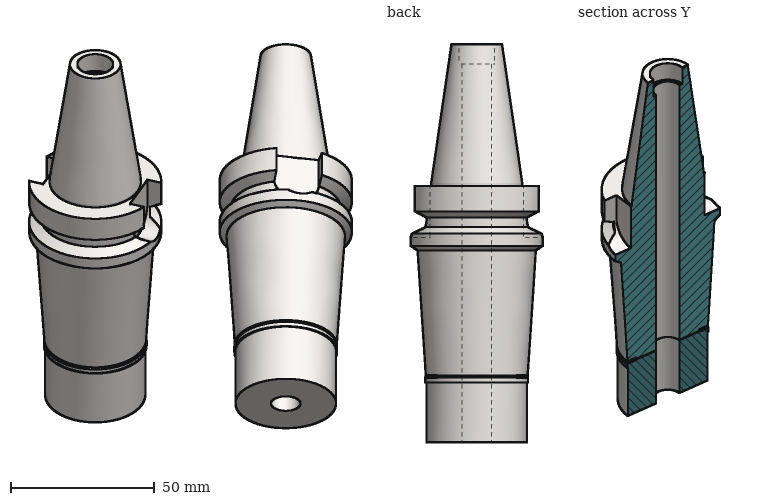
import cadquery as cq
import math

total_length = 138.4

gauge_radius = 31.75 / 2
taper_length = 48.4
taper_ratio = 7 / 24
taper_tip_radius = gauge_radius - taper_length * taper_ratio / 2

flange_radius = 46 / 2
flange_top_z = -0.9
upper_rim_height = 8.8
groove_radius = 19.1
groove_flank_angle = 60
groove_flank_height = (flange_radius - groove_radius) / math.tan(math.radians(groove_flank_angle))
groove_floor_height = 3.3
lower_rim_height = 4.2
flange_chamfer_height = 1.6

groove_top_z = flange_top_z - upper_rim_height
groove_floor_top_z = groove_top_z - groove_flank_height
groove_floor_bottom_z = groove_floor_top_z - groove_floor_height
groove_bottom_z = groove_floor_bottom_z - groove_flank_height
chamfer_top_z = groove_bottom_z - lower_rim_height
body_top_z = chamfer_top_z - flange_chamfer_height

slot_width = 16.1
slot_floor_x = 16.3
slot_depth = 17.9

body_top_radius = 20.6
body_bottom_radius = 17.75
nose_radius = 13.9
nut_gap = 0.8
nut_radius = 35 / 2
collar_radius = 17.9
collar_height = 1.7
nut_height = 22.5

nut_bottom_z = taper_length - total_length
nut_top_z = nut_bottom_z + nut_height
collar_bottom_z = nut_top_z - collar_height
body_bottom_z = nut_top_z + nut_gap

bore_radius = 10.25 / 2
counterbore_radius = 12.5 / 2
counterbore_depth = 7.0
counterbore_floor_z = taper_length - counterbore_depth


def revolve_profile(points):
    """Revolve a closed (radius, z) outline about the Z axis."""
    return cq.Workplane("XZ").polyline(points).close().revolve(360, (0, 0, 0), (0, 1, 0))


def make_drive_slot(side):
    """Cutter for one drive slot: open at the flange top, rounded at its lower end."""
    end_radius = slot_width / 2
    end_center_z = flange_top_z - slot_depth + end_radius
    return (
        cq.Workplane("YZ")
        .workplane(offset=side * slot_floor_x)
        .moveTo(-end_radius, flange_top_z)
        .lineTo(-end_radius, end_center_z)
        .threePointArc((0, flange_top_z - slot_depth), (end_radius, end_center_z))
        .lineTo(end_radius, flange_top_z)
        .close()
        .extrude(side * (flange_radius - slot_floor_x))
    )


def make_holder():
    """Tool holder: spindle taper, flange, tapered body and nose, bored through."""
    holder = revolve_profile([
        (counterbore_radius, taper_length),
        (taper_tip_radius, taper_length),
        (gauge_radius, 0),
        (gauge_radius, flange_top_z),
        (flange_radius, flange_top_z),
        (flange_radius, groove_top_z),
        (groove_radius, groove_floor_top_z),
        (groove_radius, groove_floor_bottom_z),
        (flange_radius, groove_bottom_z),
        (flange_radius, chamfer_top_z),
        (body_top_radius, body_top_z),
        (body_bottom_radius, body_bottom_z),
        (nose_radius, body_bottom_z),
        (nose_radius, nut_top_z),
        (bore_radius, nut_top_z),
        (bore_radius, counterbore_floor_z),
        (counterbore_radius, counterbore_floor_z),
    ])
    for side in (-1, 1):
        holder = holder.cut(make_drive_slot(side))
    return holder


def make_nut():
    """Clamping nut: bored cylinder with a slightly larger collar, seated on the nose end."""
    return revolve_profile([
        (bore_radius, nut_top_z),
        (collar_radius, nut_top_z),
        (collar_radius, collar_bottom_z),
        (nut_radius, collar_bottom_z),
        (nut_radius, nut_bottom_z),
        (bore_radius, nut_bottom_z),
    ])


holder = make_holder()
nut = make_nut()

result = cq.Compound.makeCompound([holder.val(), nut.val()])